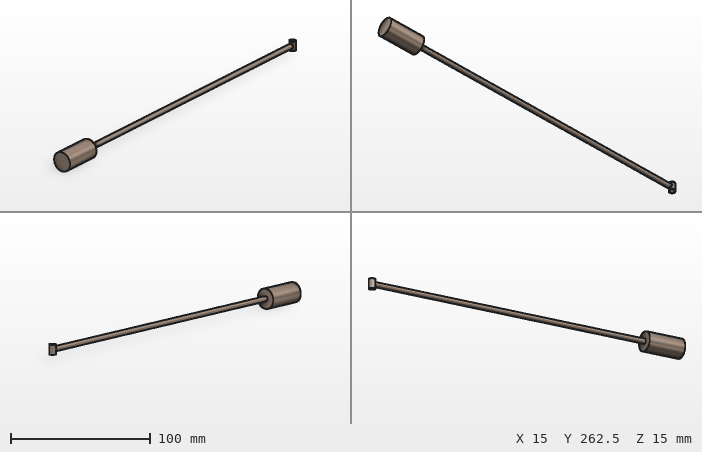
import cadquery as cq

total_length = 262.5
handle_diameter = 15.0
handle_length = 30.0
rod_diameter = 4.0
ring_outer_diameter = 5.0
ring_inner_diameter = 3.5
ring_height = 7.4

ring_center_y = total_length - ring_outer_diameter / 2


def cylinder_along_y(diameter, start_y, end_y):
    return (
        cq.Workplane("XZ", origin=(0, start_y, 0))
        .circle(diameter / 2)
        .extrude(start_y - end_y)
    )


def cylinder_along_z(diameter):
    return (
        cq.Workplane("XY")
        .center(0, ring_center_y)
        .circle(diameter / 2)
        .extrude(ring_height / 2, both=True)
    )


handle = cylinder_along_y(handle_diameter, 0, handle_length)

rod = cylinder_along_y(rod_diameter, handle_length, ring_center_y)
ring = cylinder_along_z(ring_outer_diameter)
bore = cylinder_along_z(ring_inner_diameter)

result = handle.union(rod).union(ring).cut(bore)